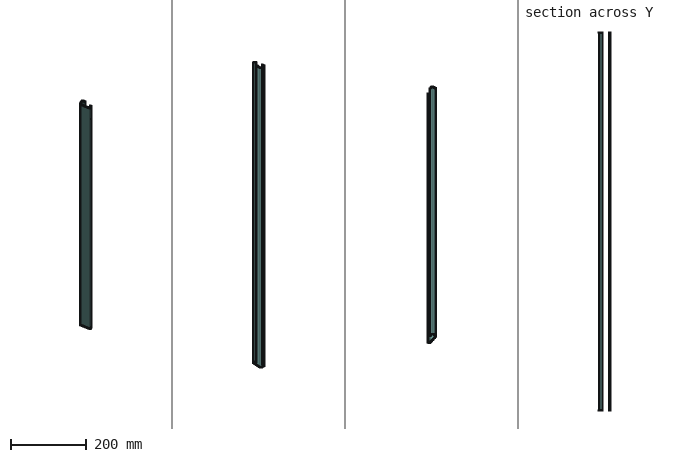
import cadquery as cq

width = 32.0
depth = 15.0
length = 1000.0

sheet = 1.5
inner_radius = 1.5
tall_lip = 10.5
short_height = 9.0
short_lip = 5.0

outer_radius = inner_radius + sheet


def square_rail():
    """G-shaped rail with sharp bends: floor, two walls and their inward lips."""
    outline = [
        (0, 0),
        (width, 0),
        (width, short_height),
        (width - short_lip, short_height),
        (width - short_lip, short_height - sheet),
        (width - sheet, short_height - sheet),
        (width - sheet, sheet),
        (sheet, sheet),
        (sheet, depth - sheet),
        (tall_lip, depth - sheet),
        (tall_lip, depth),
        (0, depth),
    ]
    return cq.Workplane("XY").polyline(outline).close().extrude(length)


def round_edges(body, corners, radius):
    """Fillet the lengthwise edges that pass through the given section corners."""
    for x, y in corners:
        edge = cq.selectors.NearestToPointSelector((x, y, length / 2))
        body = body.edges(edge).fillet(radius)
    return body


outer_corners = [
    (0, 0),
    (width, 0),
    (width, short_height),
    (0, depth),
]
inner_corners = [
    (sheet, sheet),
    (width - sheet, sheet),
    (width - sheet, short_height - sheet),
    (sheet, depth - sheet),
]

result = square_rail()
result = round_edges(result, outer_corners, outer_radius)
result = round_edges(result, inner_corners, inner_radius)